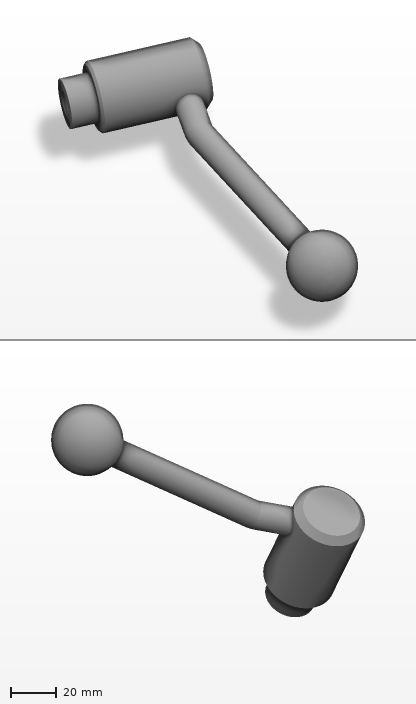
import cadquery as cq
import math

hub_diameter = 33.0
hub_radius = hub_diameter / 2
boss_diameter = 23.0
boss_length = 12.5
hub_length = 52.0
hub_end = boss_length + hub_length
front_chamfer = 1.2
rear_chamfer = 3.3

hole_diameter = 10.1
hole_depth = 27.2
mouth_diameter = 12.1
drill_tip_angle = 118

arm_diameter = 13.0
arm_radius = arm_diameter / 2
arm_height = 52.6
stub_end = 31.8
bend_angle = 20
bend_radius = 3.5

ball_diameter = 32.0
ball_radius = ball_diameter / 2
overall_length = 151.3
ball_x = overall_length - hub_radius - ball_radius
flat_distance = 12.9

bend_slope = math.radians(bend_angle)
rod_direction = cq.Vector(math.cos(bend_slope), math.sin(bend_slope), 0)
pivot = cq.Vector(stub_end, arm_height + bend_radius, 0)
rod_start = pivot + cq.Vector(math.sin(bend_slope), -math.cos(bend_slope), 0) * bend_radius
rod_length = (ball_x - rod_start.x) / math.cos(bend_slope)
ball_center = rod_start + rod_direction * rod_length


def make_hub():
    """Chamfered cylinder with a narrower boss at its lower end."""
    profile = [
        (0, 0),
        (boss_diameter / 2, 0),
        (boss_diameter / 2, boss_length),
        (hub_radius - front_chamfer, boss_length),
        (hub_radius, boss_length + front_chamfer),
        (hub_radius, hub_end - rear_chamfer),
        (hub_radius - rear_chamfer, hub_end),
        (0, hub_end),
    ]
    return cq.Workplane("XY").polyline(profile).close().revolve(360, (0, 0, 0), (0, 1, 0))


def make_hole():
    """Blind hole with a 45-degree mouth and a conical bottom."""
    hole_radius = hole_diameter / 2
    mouth_radius = mouth_diameter / 2
    tip_length = hole_radius / math.tan(math.radians(drill_tip_angle / 2))
    profile = [
        (0, 0),
        (mouth_radius, 0),
        (hole_radius, mouth_radius - hole_radius),
        (hole_radius, hole_depth),
        (0, hole_depth + tip_length),
    ]
    return cq.Workplane("XY").polyline(profile).close().revolve(360, (0, 0, 0), (0, 1, 0))


def make_stub():
    """Straight bar from the hub axis to the bend."""
    return cq.Workplane("YZ").center(arm_height, 0).circle(arm_radius).extrude(stub_end)


def make_bend():
    """Turned wedge of the bar section outside the bend pivot, which lies within the bar."""
    half_width = math.sqrt(arm_radius**2 - bend_radius**2)
    return (
        cq.Workplane("YZ", origin=(stub_end, arm_height, 0))
        .moveTo(bend_radius, half_width)
        .threePointArc((-arm_radius, 0), (bend_radius, -half_width))
        .close()
        .revolve(bend_angle, (bend_radius, -1.5, 0), (bend_radius, 1.5, 0))
    )


def make_rod():
    """Straight bar from the bend to the ball centre."""
    rod_plane = cq.Plane(origin=rod_start.toTuple(), normal=rod_direction.toTuple())
    return cq.Workplane(rod_plane).circle(arm_radius).extrude(rod_length)


def make_ball():
    """Sphere cut off square to the rod on the side facing the hub."""
    sphere = cq.Workplane("XY").sphere(ball_radius).translate(ball_center)
    flat_plane = cq.Plane(
        origin=(ball_center - rod_direction * flat_distance).toTuple(),
        normal=rod_direction.toTuple(),
    )
    kept_side = cq.Workplane(flat_plane).circle(ball_diameter).extrude(ball_diameter)
    return sphere.intersect(kept_side)


arm = make_stub().union(make_bend()).union(make_rod())
result = make_hub().union(arm).union(make_ball()).cut(make_hole())